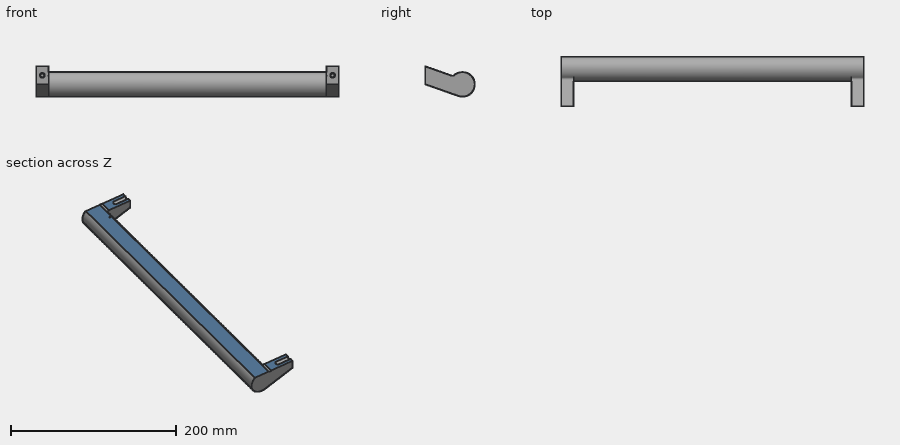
import cadquery as cq
import math

bar_length = 365.0
bar_diameter = 30.0
overall_depth = 60.0
arm_width = 15.0
arm_end_height = 22.0
root_fillet_radius = 3.0
hole_diameter = 4.7
countersink_diameter = 6.0
hole_depth = 18.2
drill_tip_angle = 118.0

bar_radius = bar_diameter / 2
mount_y = bar_radius - overall_depth

slope_angle = math.asin(bar_radius / abs(mount_y))
tangent_y = -bar_radius * math.sin(slope_angle)
tangent_z = -bar_radius * math.cos(slope_angle)
top_at_axis_z = arm_end_height + mount_y * math.tan(slope_angle)

top_offset = top_at_axis_z * math.cos(slope_angle)
top_reach = math.sqrt(bar_radius**2 - top_offset**2)
root_y = top_offset * math.sin(slope_angle) - top_reach * math.cos(slope_angle)
root_z = top_offset * math.cos(slope_angle) + top_reach * math.sin(slope_angle)


def make_bar():
    return cq.Workplane("YZ").circle(bar_radius).extrude(bar_length)


def make_arm(start_x):
    """Arm with a sloping underside tangent to the bar and a filleted root on top."""
    arm = (
        cq.Workplane("YZ", origin=(start_x, 0, 0))
        .moveTo(tangent_y, tangent_z)
        .lineTo(mount_y, 0)
        .lineTo(mount_y, arm_end_height)
        .lineTo(root_y, root_z)
        .threePointArc((0, bar_radius), (bar_radius, 0))
        .threePointArc((0, -bar_radius), (tangent_y, tangent_z))
        .close()
        .extrude(arm_width)
    )
    root_point = (start_x + arm_width / 2, root_y, root_z)
    return arm.edges(cq.NearestToPointSelector(root_point)).fillet(root_fillet_radius)


def make_hole(start_x):
    """Blind screw hole with a 45 degree countersink and a conical tip, centred on the mounting face."""
    hole_radius = hole_diameter / 2
    countersink_radius = countersink_diameter / 2
    tip_length = hole_radius / math.tan(math.radians(drill_tip_angle / 2))
    centre = (start_x + arm_width / 2, mount_y, arm_end_height / 2)
    half_profile = (
        cq.Workplane("XY", origin=centre)
        .lineTo(countersink_radius, 0)
        .lineTo(hole_radius, countersink_radius - hole_radius)
        .lineTo(hole_radius, hole_depth)
        .lineTo(0, hole_depth + tip_length)
        .close()
    )
    return half_profile.revolve(360, (0, 0, 0), (0, 1, 0))


result = make_bar()
for arm_start_x in (0, bar_length - arm_width):
    result = result.union(make_arm(arm_start_x))
    result = result.cut(make_hole(arm_start_x))